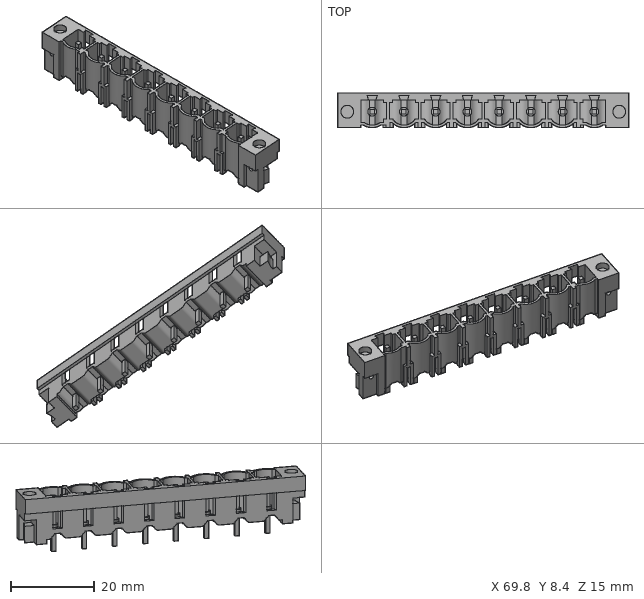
import cadquery as cq
import math


length = 69.8
top_z = 11.8
back_y = 4.55
front_y = -3.85
lip_depth = 0.7
lip_height = 3.6
rear_wall_y = back_y - lip_depth
base_z = 1.05

cell_count = 8
pitch = 7.6
row_half = pitch * (cell_count - 1) / 2
cell_xs = [-row_half + i * pitch for i in range(cell_count)]
rib_xs = [x + pitch / 2 for x in cell_xs[:-1]]
outer_radius = -front_y
wall = 0.6
inner_radius = outer_radius - wall
cavity_half = 2.7
cavity_back_y = 2.85
web_front_y = -2.6
end_web_front_y = web_front_y - wall
pocket_half = 3.5
pocket_back_y = 2.2
pocket_front_y = -math.sqrt(inner_radius**2 - cavity_half**2)
block_inner_x = row_half + cavity_half
block_length = length / 2 - block_inner_x

arch_height = 1.3
arch_flat_half = 0.7
arch_shoulder_half = 1.4
arch_shoulder_drop = 0.8
arch_foot_half = 2.3
floor_thickness = 0.7
collar_radius = 1.05
collar_height = 0.55

keyway_back_half = 1.2
keyway_mouth_half = 0.9
keyway_floor_z = 3.6

stem_width = 0.9
fork_width = 2.5
fork_top_z = 6.35
fork_slot_top_z = 5.5

corner_length = 3.7
corner_depth = 0.85
corner_top_z = 6.9
recess_length = 3.0
recess_front_y = -0.9
recess_top_z = 6.3
boss_top_z = 4.2
boss_face_from_end = 1.1
boss_edge_from_end = 0.6
boss_back_y = 1.7
screw_from_end = 2.3
screw_radius = 1.55
screw_depth = 1.6
cross_hole_radius = 0.55
cross_hole_z = 5.85

pin_width = 1.05
pin_top_z = 10.75
pin_bottom_z = -3.15


def box(x0, x1, y0, y1, z0, z1):
    """Box between two opposite corners."""
    return cq.Workplane("XY").box(x1 - x0, y1 - y0, z1 - z0, centered=False).translate((x0, y0, z0))


def arch_cut(x, foot_half, low_z, bottom_z, y0, y1):
    """Space under one arch: flat crown, sloping shoulders, flanks that round out level at the feet."""
    crown_z = low_z + arch_height
    shoulder_z = crown_z - arch_shoulder_drop
    run = foot_half - arch_shoulder_half
    rise = shoulder_z - low_z
    flank_radius = (run**2 + rise**2) / (2 * rise)
    mid_angle = math.atan2(run, flank_radius - rise) / 2
    mid_half = foot_half - flank_radius * math.sin(mid_angle)
    mid_z = low_z + flank_radius * (1 - math.cos(mid_angle))
    profile = (
        cq.Workplane("XZ", origin=(x, y1, 0))
        .moveTo(-foot_half, bottom_z)
        .lineTo(-foot_half, low_z)
        .threePointArc((-mid_half, mid_z), (-arch_shoulder_half, shoulder_z))
        .lineTo(-arch_flat_half, crown_z)
        .lineTo(arch_flat_half, crown_z)
        .lineTo(arch_shoulder_half, shoulder_z)
        .threePointArc((mid_half, mid_z), (foot_half, low_z))
        .lineTo(foot_half, bottom_z)
        .close()
    )
    return profile.extrude(y1 - y0)


def cell_cavity(x):
    """Open cell: straight back, round front, a wider pocket beside each neighbour, arched floor."""
    floor_z = base_z + floor_thickness
    is_first = x == cell_xs[0]
    is_last = x == cell_xs[-1]
    room = box(x - cavity_half, x + cavity_half, 0, cavity_back_y, floor_z, top_z)
    bay = cq.Workplane("XY", origin=(x, 0, floor_z)).circle(inner_radius).extrude(top_z - floor_z)
    room = room.union(bay.intersect(box(x - cavity_half, x + cavity_half, front_y, 0, floor_z, top_z)))
    if is_first or is_last:
        room = room.union(box(x - cavity_half, x + cavity_half, web_front_y, 0, floor_z, top_z))
    left_half = cavity_half if is_first else pocket_half
    right_half = cavity_half if is_last else pocket_half
    room = room.union(box(x - left_half, x + right_half, pocket_front_y, pocket_back_y, floor_z, top_z))
    hump = arch_cut(x, cavity_half, floor_z, base_z, front_y, back_y)
    collar_top_z = floor_z + arch_height + collar_height
    collar = cq.Workplane("XY", origin=(x, 0, base_z)).circle(collar_radius).extrude(collar_top_z - base_z)
    return room.cut(hump).cut(collar).union(keyway(x))


def keyway(x):
    """Dovetail slot that also opens through the rear wall below the lip."""
    return (
        cq.Workplane("XY", origin=(x, 0, keyway_floor_z))
        .polyline([
            (-keyway_mouth_half, cavity_back_y),
            (-keyway_back_half, rear_wall_y),
            (keyway_back_half, rear_wall_y),
            (keyway_mouth_half, cavity_back_y),
        ])
        .close()
        .extrude(top_z - keyway_floor_z)
    )


def rib(x):
    """Narrow stem that widens into a two-legged fork standing on the seating plane."""
    stem = box(x - stem_width / 2, x + stem_width / 2, front_y, web_front_y, fork_slot_top_z, top_z)
    fork = box(x - fork_width / 2, x + fork_width / 2, front_y, web_front_y, 0, fork_top_z)
    slot = box(x - stem_width / 2, x + stem_width / 2, front_y, web_front_y, 0, fork_slot_top_z)
    return stem.union(fork.cut(slot))


def left_end_block():
    """Screw block at the -X end."""
    end_x = -length / 2
    block = box(end_x, end_x + block_length, front_y, rear_wall_y, 0, top_z)
    corner = box(end_x, end_x + corner_length, front_y, front_y + corner_depth, 0, corner_top_z)
    recess = box(end_x, end_x + recess_length, recess_front_y, rear_wall_y, 0, recess_top_z)
    boss = (
        cq.Workplane("XY")
        .polyline([
            (end_x + boss_face_from_end, recess_front_y),
            (end_x + boss_face_from_end, 0),
            (end_x + boss_edge_from_end, boss_back_y),
            (end_x + recess_length, boss_back_y),
            (end_x + recess_length, recess_front_y),
        ])
        .close()
        .extrude(boss_top_z)
    )
    screw_hole = (
        cq.Workplane("XY", origin=(end_x + screw_from_end, 0, top_z - screw_depth))
        .circle(screw_radius)
        .extrude(screw_depth)
    )
    cross_hole = (
        cq.Workplane("XZ", origin=(end_x + screw_from_end, recess_front_y, cross_hole_z))
        .circle(cross_hole_radius)
        .extrude(recess_front_y - front_y)
    )
    return block.cut(corner).cut(recess.cut(boss)).cut(screw_hole).cut(cross_hole)


def make_housing():
    """One-piece housing."""
    body = box(-block_inner_x, block_inner_x, web_front_y, rear_wall_y, base_z, top_z)
    for x in cell_xs:
        bulge = cq.Workplane("XY", origin=(x, 0, base_z)).circle(outer_radius).extrude(top_z - base_z)
        body = body.union(bulge.intersect(box(-block_inner_x, block_inner_x, front_y, 0, base_z, top_z)))
    end_web_inner_x = rib_xs[-1] + stem_width / 2
    end_web = box(end_web_inner_x, block_inner_x, end_web_front_y, web_front_y, base_z, top_z)
    body = body.union(end_web).union(end_web.mirror("YZ"))
    for x in rib_xs:
        body = body.union(rib(x))
    for x in cell_xs:
        body = body.cut(arch_cut(x, arch_foot_half, base_z, 0, front_y, back_y))
        body = body.cut(cell_cavity(x))
        body = body.cut(make_pin(x))
    block = left_end_block()
    body = body.union(block).union(block.mirror("YZ"))
    lip = box(-length / 2, length / 2, rear_wall_y, back_y, top_z - lip_height, top_z)
    return body.union(lip)


def make_pin(x):
    """Square contact pin."""
    half = pin_width / 2
    return box(x - half, x + half, -half, half, pin_bottom_z, pin_top_z)


housing = make_housing()
pins = [make_pin(x) for x in cell_xs]

result = cq.Compound.makeCompound([housing.solids().val(), *[pin.val() for pin in pins]])